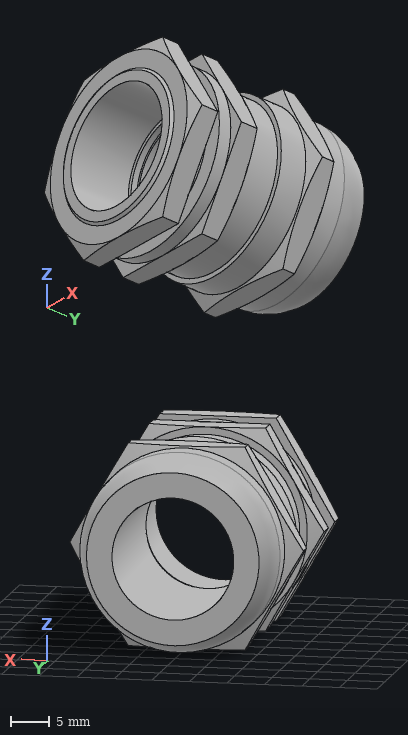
import cadquery as cq
import math

TOTAL_LENGTH = 33
TIP_CHAMFER = 0.5
HEX_THICKNESS = 3.5
LOCKNUT_START = 0.4
FLANGE_START = 6.0
BODY_HEX_START = 8.0
CAP_START = 17.0
CAP_HEX_START = 21.25
CAP_HEX_THICKNESS = 3.7
DOME_LENGTH = 5.0

THREAD_DIAMETER = 22.0
FLANGE_DIAMETER = 27.0
BODY_DIAMETER = 25.0
CAP_DIAMETER = 26.5
DOME_END_DIAMETER = 23.0

HEX_ACROSS_FLATS = 27.0
HEX_CHAMFER_ANGLE = 20

FRONT_BORE_DIAMETER = 18.0
FRONT_BORE_DEPTH = 10.0
MIDDLE_BORE_DIAMETER = 16.9
MIDDLE_BORE_DEPTH = 11.0
REAR_BORE_DIAMETER = 16.2

FRONT_Y = -TOTAL_LENGTH / 2


def cylinder(start, length, diameter):
    """Solid cylinder along +Y, starting at a distance from the front end."""
    plane = cq.Workplane(cq.Plane((0, FRONT_Y + start, 0), (1, 0, 0), (0, 1, 0)))
    return plane.circle(diameter / 2).extrude(length)


def hexagon(start, thickness, front_diameter=None, back_diameter=None):
    """Hexagonal section with flats facing +Z and -Z.

    Where a face diameter is given, a cone narrows the corners to that circle on the end face.
    """
    corner_radius = HEX_ACROSS_FLATS / math.sqrt(3)
    slope = math.tan(math.radians(HEX_CHAMFER_ANGLE))
    front = FRONT_Y + start
    back = front + thickness

    plane = cq.Workplane(cq.Plane((0, front, 0), (1, 0, 0), (0, 1, 0)))
    prism = plane.polygon(6, 2 * corner_radius).extrude(thickness)

    front_radius = front_diameter / 2 if front_diameter else corner_radius
    back_radius = back_diameter / 2 if back_diameter else corner_radius
    envelope = cq.Workplane("XY").moveTo(0, front).lineTo(front_radius, front)
    if front_diameter:
        envelope = envelope.lineTo(corner_radius, front + (corner_radius - front_radius) * slope)
    envelope = envelope.lineTo(corner_radius, back - (corner_radius - back_radius) * slope)
    if back_diameter:
        envelope = envelope.lineTo(back_radius, back)
    envelope = envelope.lineTo(0, back).close().revolve(360, (0, 0, 0), (0, 1, 0))
    return prism.intersect(envelope)


def domed_cap():
    """Cap cylinder that curves inward to a flat end, tangent to its straight side."""
    side_radius = CAP_DIAMETER / 2
    end_radius = DOME_END_DIAMETER / 2
    start_y = FRONT_Y + CAP_START
    end_y = FRONT_Y + TOTAL_LENGTH
    return (
        cq.Workplane("XY")
        .moveTo(0, start_y)
        .lineTo(side_radius, start_y)
        .lineTo(side_radius, end_y - DOME_LENGTH)
        .tangentArcPoint((end_radius, end_y), relative=False)
        .lineTo(0, end_y)
        .close()
        .revolve(360, (0, 0, 0), (0, 1, 0))
    )


thread = cylinder(0, FLANGE_START, THREAD_DIAMETER).faces("<Y").chamfer(TIP_CHAMFER)
locknut = hexagon(LOCKNUT_START, HEX_THICKNESS, front_diameter=HEX_ACROSS_FLATS)
flange = cylinder(FLANGE_START, BODY_HEX_START - FLANGE_START, FLANGE_DIAMETER)
body_hex = hexagon(BODY_HEX_START, HEX_THICKNESS, back_diameter=HEX_ACROSS_FLATS)
body = cylinder(BODY_HEX_START, CAP_START - BODY_HEX_START, BODY_DIAMETER)
cap_hex = hexagon(CAP_HEX_START, CAP_HEX_THICKNESS, CAP_DIAMETER, CAP_DIAMETER)

outside = thread.union(locknut).union(flange).union(body_hex).union(body)
outside = outside.union(domed_cap()).union(cap_hex)

front_bore = cylinder(0, FRONT_BORE_DEPTH, FRONT_BORE_DIAMETER)
middle_bore = cylinder(0, MIDDLE_BORE_DEPTH, MIDDLE_BORE_DIAMETER)
rear_bore = cylinder(0, TOTAL_LENGTH, REAR_BORE_DIAMETER)

result = outside.cut(front_bore).cut(middle_bore).cut(rear_bore)